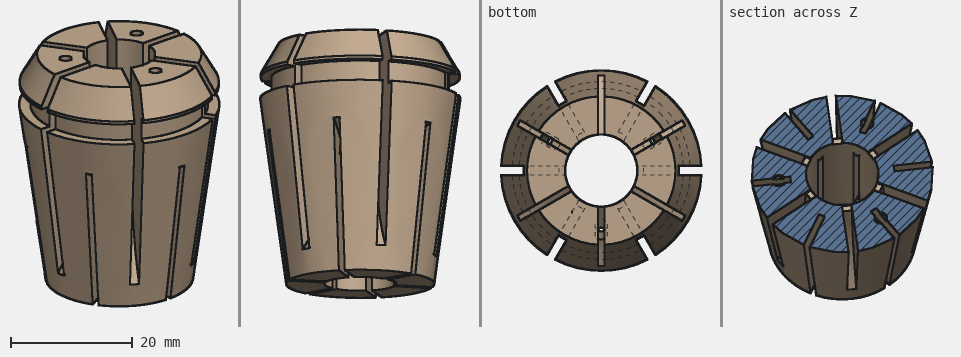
import cadquery as cq
import math

LENGTH = 40.0
SHOULDER_DIAMETER = 33.0
BOTTOM_RADIUS = 12.2
TOP_FACE_RADIUS = 13.5
BORE_RADIUS = 5.9

HEAD_RADIUS = 16.4
HEAD_RIM_Z = 35.1
GROOVE_TOP_Z = 34.55
GROOVE_BOTTOM_Z = 31.0
GROOVE_RADIUS = 14.65

SLOTS_PER_END = 6
SLOT_PITCH = 360 / SLOTS_PER_END
BLADE_RADIUS = 24.0
TOP_SLOT_WIDTH = 1.5
TOP_SLOT_INNER_RADIUS = 6.95
TOP_SLOT_FLOOR_Z = 19.75
BOTTOM_SLOT_WIDTH = 1.0
BOTTOM_BLADE_CENTER_RADIUS = 25.7
BOTTOM_BLADE_CENTER_Z = 3.15

HOLE_COUNT = 3
HOLE_DIAMETER = 2.0
HOLE_PITCH_RADIUS = 9.0
HOLE_DEPTH = 20.4
HOLE_TILT = 4.3
FIRST_HOLE_ANGLE = 90.0

CLEARANCE = 2.0


def make_body():
    """Revolve the collet wall around its axis."""
    shoulder_radius = SHOULDER_DIAMETER / 2
    outline = [
        (BORE_RADIUS, 0),
        (BOTTOM_RADIUS, 0),
        (shoulder_radius, GROOVE_BOTTOM_Z),
        (GROOVE_RADIUS, GROOVE_BOTTOM_Z),
        (GROOVE_RADIUS, GROOVE_TOP_Z),
        (HEAD_RADIUS, GROOVE_TOP_Z),
        (HEAD_RADIUS, HEAD_RIM_Z),
        (TOP_FACE_RADIUS, LENGTH),
        (BORE_RADIUS, LENGTH),
    ]
    return cq.Workplane("XZ").polyline(outline).close().revolve(360, (0, 0), (0, 1))


def make_blade(center_radius, center_z, width):
    """Round blade standing in the XZ plane, centred on y = 0."""
    return (
        cq.Workplane("XZ")
        .center(center_radius, center_z)
        .circle(BLADE_RADIUS)
        .extrude(width / 2, both=True)
    )


def make_top_slot():
    """Slot open at the top, with a flat floor inside that curves down to the outer wall."""
    reach = SHOULDER_DIAMETER / 2 + CLEARANCE
    height = LENGTH + CLEARANCE - TOP_SLOT_FLOOR_Z
    opening = cq.Workplane("XY", origin=(0, 0, TOP_SLOT_FLOOR_Z)).box(
        reach, TOP_SLOT_WIDTH, height, centered=(False, True, False)
    )
    blade_center_radius = TOP_SLOT_INNER_RADIUS + BLADE_RADIUS
    return opening.union(make_blade(blade_center_radius, TOP_SLOT_FLOOR_Z, TOP_SLOT_WIDTH))


def make_bottom_slot():
    """Slot open at the bottom, with a roof that rises toward the outer wall."""
    return make_blade(BOTTOM_BLADE_CENTER_RADIUS, BOTTOM_BLADE_CENTER_Z, BOTTOM_SLOT_WIDTH)


def make_tilted_hole():
    """Round hole that starts at the top face and leans outward on its way down."""
    tilt = math.radians(HOLE_TILT)
    direction = cq.Vector(math.sin(tilt), 0, -math.cos(tilt))
    mouth = cq.Vector(HOLE_PITCH_RADIUS, 0, LENGTH)
    start = mouth - direction * CLEARANCE
    hole = cq.Solid.makeCylinder(HOLE_DIAMETER / 2, HOLE_DEPTH + CLEARANCE, start, direction)
    return cq.Workplane(hole)


def cut_around(body, cutter, count, first_angle):
    """Cut equally spaced copies of a cutter around the Z axis."""
    for index in range(count):
        angle = first_angle + index * 360 / count
        body = body.cut(cutter.rotate((0, 0, 0), (0, 0, 1), angle))
    return body


result = make_body()
result = cut_around(result, make_top_slot(), SLOTS_PER_END, 0)
result = cut_around(result, make_bottom_slot(), SLOTS_PER_END, SLOT_PITCH / 2)
result = cut_around(result, make_tilted_hole(), HOLE_COUNT, FIRST_HOLE_ANGLE)